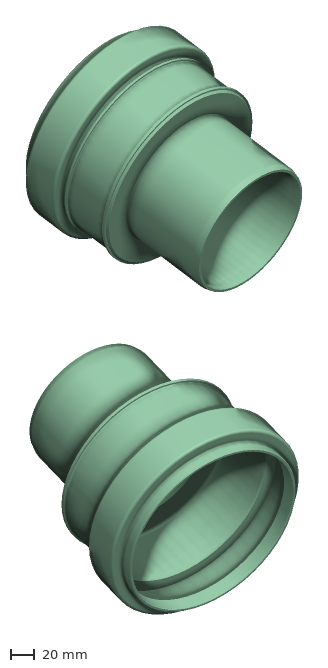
import cadquery as cq

total_length = 184.2
body_diameter = 170.1
body_end = 99.7
body_edge_chamfer = 0.8

collar_diameter = 193.3
collar_start = 11.2
collar_end = 45.2
collar_edge_radius = 2.7
collar_foot_radius = 1.4

rib_diameter = 175.1
front_rib_start = 49.9
front_rib_width = 2.0
rear_rib_start = 95.0
rear_rib_width = 2.7
rib_foot_chamfer = 0.8

spigot_diameter = 125.0
spigot_chamfer_length = 5.8
spigot_chamfer_depth = 1.5
spigot_root_chamfer = 0.8
bore_diameter = 117.1

mouth_diameter = 163.5
socket_diameter = 163.0
groove_diameter = 186.1
wall = (body_diameter - socket_diameter) / 2
groove_start = 13.1
groove_end = collar_end - wall
socket_end = body_end - wall
socket_floor_radius = 2.9
mouth_chamfer = 0.5
socket_lead_in = 1.2


def cylinder(start, end, diameter):
    """Solid cylinder on the X axis between two stations."""
    return cq.Workplane("YZ", origin=(start, 0, 0)).circle(diameter / 2).extrude(end - start)


def turned(points):
    """Solid of revolution about X from a closed (x, radius) outline."""
    return cq.Workplane("XY").polyline(points).close().revolve(360, (0, 0, 0), (1, 0, 0))


def make_collar():
    """Seal collar with rounded rims and concave fillets at its feet."""
    rim = collar_diameter / 2
    foot = body_diameter / 2
    r = collar_edge_radius
    f = collar_foot_radius
    outline = (
        cq.Workplane("XY")
        .moveTo(collar_start - f, 0)
        .lineTo(collar_start - f, foot)
        .radiusArc((collar_start, foot + f), -f)
        .lineTo(collar_start, rim - r)
        .radiusArc((collar_start + r, rim), r)
        .lineTo(collar_end - r, rim)
        .radiusArc((collar_end, rim - r), r)
        .lineTo(collar_end, foot + f)
        .radiusArc((collar_end + f, foot), -f)
        .lineTo(collar_end + f, 0)
        .close()
    )
    return outline.revolve(360, (0, 0, 0), (1, 0, 0))


def make_rib(start, width):
    """Narrow ring with a small chamfered foot on both sides."""
    foot = body_diameter / 2
    top = rib_diameter / 2
    c = rib_foot_chamfer
    end = start + width
    return turned([
        (start - c, 0), (start - c, foot), (start, foot + c), (start, top),
        (end, top), (end, foot + c), (end + c, foot), (end + c, 0),
    ])


body = cylinder(0, body_end, body_diameter).edges().chamfer(body_edge_chamfer)
spigot_radius = spigot_diameter / 2
spigot = turned([
    (0, 0), (0, spigot_radius + spigot_root_chamfer),
    (body_end, spigot_radius + spigot_root_chamfer),
    (body_end + spigot_root_chamfer, spigot_radius),
    (total_length - spigot_chamfer_length, spigot_radius),
    (total_length, spigot_radius - spigot_chamfer_depth),
    (total_length, 0),
])
outside = body.union(spigot).union(make_collar())
outside = outside.union(make_rib(front_rib_start, front_rib_width))
outside = outside.union(make_rib(rear_rib_start, rear_rib_width))

socket = cylinder(0, socket_end, socket_diameter).faces(">X").edges().fillet(socket_floor_radius)
mouth_radius = mouth_diameter / 2
mouth = turned([
    (0, 0), (0, mouth_radius + mouth_chamfer),
    (mouth_chamfer, mouth_radius),
    (groove_start, mouth_radius), (groove_start, 0),
])
groove = cylinder(groove_start, groove_end, groove_diameter)
socket_radius = socket_diameter / 2
lead_in = turned([
    (groove_end, 0), (groove_end, socket_radius + socket_lead_in),
    (groove_end + socket_lead_in, socket_radius), (groove_end + socket_lead_in, 0),
])
bore = cylinder(0, total_length, bore_diameter)

result = outside.cut(socket).cut(mouth).cut(groove).cut(lead_in).cut(bore)